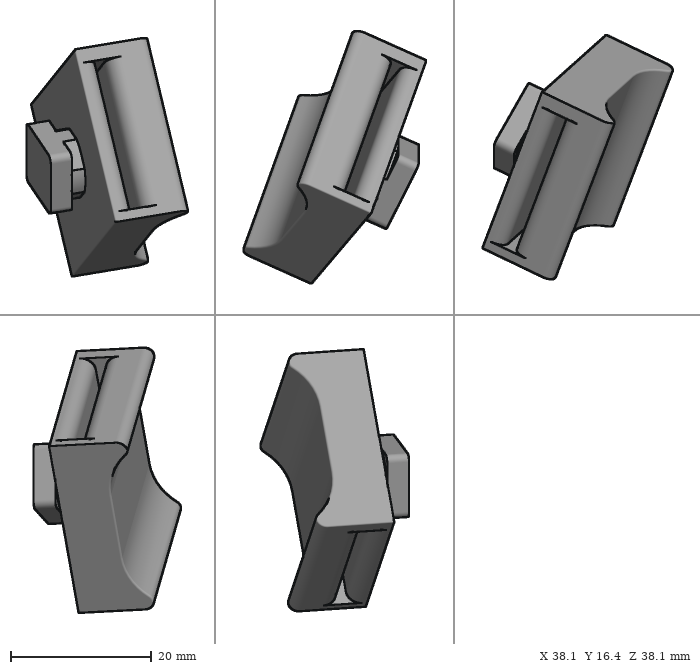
import cadquery as cq
import math

block_width = 28.0
block_height = 26.0
block_depth = 11.24
block_turn = -45.0
rim_radius = 0.2
back_corner_radius = 1.5

scoop_radius = 8.5
scoop_depth = 3.45
crest_radius = 1.25
crest_inset = 1.3
scoop_end_radius = 0.3

slot_throat = 1.5
slot_mouth_radius = 2.0
slot_front_offset = 3.65
slot_upper_wall = 2.15
slot_lower_wall = 1.5

head_width = 11.0
head_height = 9.5
head_thickness = 3.2
head_corner_radius = 1.0
neck_length = 2.0
neck_core_radius = 5.0
neck_swing_radius = 5.5
neck_flat_angle = 45.0


def scooped_bar():
    """Square-cornered bar with the scoop in its back and both ends of the scoop softened."""
    half = block_width / 2
    floor_y = block_depth - scoop_depth
    scoop_center_y = floor_y + scoop_radius
    crest_center_x = half - crest_inset
    crest_center_y = block_depth - crest_radius

    rise = scoop_center_y - crest_center_y
    reach = crest_radius + scoop_radius
    tangent_angle = math.asin(rise / reach)
    scoop_center_x = crest_center_x - reach * math.cos(tangent_angle)
    tangent_x = crest_center_x - crest_radius * math.cos(tangent_angle)
    tangent_y = crest_center_y + crest_radius * math.sin(tangent_angle)

    bar = (
        cq.Workplane("XY")
        .moveTo(-half, 0)
        .lineTo(half, 0)
        .lineTo(half, block_depth)
        .lineTo(crest_center_x, block_depth)
        .tangentArcPoint((tangent_x, tangent_y), relative=False)
        .tangentArcPoint((scoop_center_x, floor_y), relative=False)
        .lineTo(-scoop_center_x, floor_y)
        .tangentArcPoint((-tangent_x, tangent_y), relative=False)
        .tangentArcPoint((-crest_center_x, block_depth), relative=False)
        .lineTo(-half, block_depth)
        .close()
        .extrude(block_height / 2, both=True)
    )
    floor_ends = bar.edges(cq.selectors.NearestToPointSelector((0, floor_y, block_height / 2)))
    floor_ends = floor_ends.add(bar.edges(cq.selectors.NearestToPointSelector((0, floor_y, -block_height / 2))))
    return floor_ends.fillet(scoop_end_radius)


def rounded_envelope():
    """Plain block with its two long back corners rounded."""
    plain = cq.Workplane("XY").box(block_width, block_depth, block_height, centered=(True, False, True))
    return plain.edges("|Z and >Y").fillet(back_corner_radius)


def slot_cutter():
    """Slot through the width whose front and back walls flare out at both ends."""
    half = block_width / 2
    half_throat = slot_throat / 2
    half_mouth = half_throat + slot_mouth_radius
    throat_x = half - slot_mouth_radius
    arc_x = throat_x + slot_mouth_radius * math.sqrt(0.5)
    arc_y = half_mouth - slot_mouth_radius * math.sqrt(0.5)
    return (
        cq.Workplane("XY")
        .workplane(offset=slot_lower_wall - block_height / 2)
        .center(0, slot_front_offset)
        .moveTo(-throat_x, -half_throat)
        .lineTo(throat_x, -half_throat)
        .threePointArc((arc_x, -arc_y), (half, -half_mouth))
        .lineTo(half, half_mouth)
        .threePointArc((arc_x, arc_y), (throat_x, half_throat))
        .lineTo(-throat_x, half_throat)
        .threePointArc((-arc_x, arc_y), (-half, half_mouth))
        .lineTo(-half, -half_mouth)
        .threePointArc((-arc_x, -arc_y), (-throat_x, -half_throat))
        .close()
        .extrude(block_height - slot_upper_wall - slot_lower_wall)
    )


def make_block():
    body = scooped_bar().intersect(rounded_envelope())
    body = body.edges("<Y or (<X and |Y)").fillet(rim_radius)
    body = body.cut(slot_cutter())
    return body.rotate((0, 0, 0), (0, 1, 0), block_turn)


def make_t_nut():
    head = (
        cq.Workplane("XZ")
        .workplane(offset=neck_length)
        .rect(head_width, head_height)
        .extrude(head_thickness)
        .edges("|Y")
        .fillet(head_corner_radius)
    )
    core = cq.Workplane("XZ").circle(neck_core_radius).extrude(neck_length)
    lobe_height = 2 * neck_core_radius * math.sin(math.radians(neck_flat_angle))
    turned_square = (
        cq.Workplane("XZ")
        .rect(2 * neck_core_radius, 2 * neck_core_radius)
        .extrude(neck_length)
        .rotate((0, 0, 0), (0, 1, 0), neck_flat_angle)
    )
    swing = cq.Workplane("XZ").circle(neck_swing_radius).extrude(neck_length)
    lobe_band = cq.Workplane("XZ").rect(head_width, lobe_height).extrude(neck_length)
    lobes = turned_square.intersect(swing).intersect(lobe_band)
    head_shadow = cq.Workplane("XZ").rect(head_width, head_height).extrude(neck_length)
    neck = core.union(lobes).intersect(head_shadow)
    return head.union(neck)


block = make_block()
t_nut = make_t_nut()
result = cq.Compound.makeCompound([block.val(), t_nut.val()])